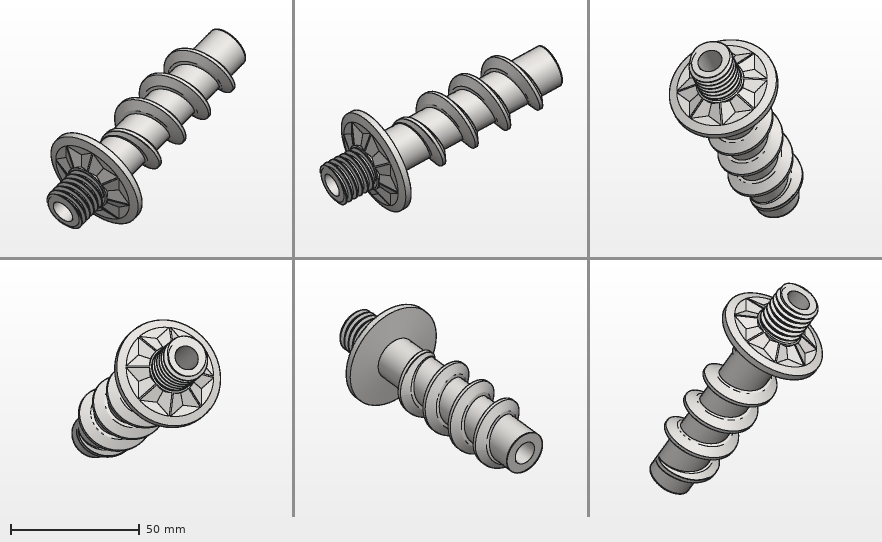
import cadquery as cq
import math

total_length = 104.14
bore_diameter = 9.65

flange_radius = 43.18 / 2
flange_front_y = 15.24
rim_front_y = 19.9
rim_back_y = 22.5
flange_back_y = 24.13

shank_radius = 17.78 / 2
tip_band_radius = 17.79 / 2
tip_band_length = 0.4

star_radius = 18.2
hub_radius = 9.6
ridge_half_width = 0.3
front_slope = (rim_front_y - flange_front_y) / (flange_radius - shank_radius)
star_floor_y = rim_front_y - front_slope * (flange_radius - star_radius)

stub_radius = 14.94 / 2
fine_crest_radius = 17.79 / 2
fine_pitch = 2.54
fine_crest_half_width = 0.25
fine_base_half_width = 1.05
fine_start_y = -0.25 * fine_pitch
fine_turns = 6.5

coarse_crest_radius = 27.94 / 2
coarse_pitch = 15.58
coarse_turns = 4
coarse_runout_turns = 0.5
coarse_start_y = 35.7
coarse_crest_half_width = 0.7
coarse_crest_bevel_depth = 0.2
coarse_crest_bevel_half_width = 0.9
coarse_upper_shoulder_height = 2.1
coarse_upper_shoulder_half_width = 2.5
coarse_lower_shoulder_height = 1.3
coarse_lower_shoulder_half_width = 2.95
coarse_base_half_width = 3.3
runout_crest_half_width = 0.85
runout_base_half_width = 1.25

thread_embed = 0.5
points_per_turn = 24


def revolve_about_y(profile):
    """Revolve a closed (radius, y) outline about the Y axis."""
    return cq.Workplane("XY").polyline(profile).close().revolve(360, (0, 0, 0), (0, 1, 0))


def right_hand_point(radius, turn, y):
    """Point on a right-hand helix that starts on the -X side and advances along +Y."""
    angle = math.pi - 2 * math.pi * turn
    return cq.Vector(radius * math.cos(angle), y, radius * math.sin(angle))


def helical_ridge(start_profile, end_profile, start_y, pitch, first_turn, last_turn):
    """Solid swept along a helix while its (radius, axial offset) profile changes linearly."""
    steps = round((last_turn - first_turn) * points_per_turn)
    edges = []
    for (start_radius, start_offset), (end_radius, end_offset) in zip(start_profile, end_profile):
        points = []
        for i in range(steps + 1):
            t = i / steps
            turn = first_turn + t * (last_turn - first_turn)
            radius = start_radius + t * (end_radius - start_radius)
            offset = start_offset + t * (end_offset - start_offset)
            points.append(right_hand_point(radius, turn, start_y + pitch * turn + offset))
        edges.append(cq.Edge.makeSpline(points))
    faces = [cq.Face.makeRuledSurface(a, b) for a, b in zip(edges, edges[1:] + edges[:1])]
    for end in (0, 1):
        corners = [edge.positionAt(end) for edge in edges]
        faces.append(cq.Face.makeFromWires(cq.Wire.makePolygon(corners, close=True)))
    ridge = cq.Solid.makeSolid(cq.Shell.makeShell(faces))
    return cq.Workplane(ridge.fix())


def mirrored_profile(half_profile):
    """Complete a symmetric tooth from its (radius, half width) points, listed base to crest."""
    falling = list(reversed(half_profile))
    return [(radius, -half_width) for radius, half_width in half_profile] + falling


def make_body():
    return revolve_about_y([
        (0, 0),
        (stub_radius, 0),
        (stub_radius, flange_front_y),
        (shank_radius, flange_front_y),
        (flange_radius, rim_front_y),
        (flange_radius, rim_back_y),
        (shank_radius, flange_back_y),
        (shank_radius, total_length - tip_band_length),
        (tip_band_radius, total_length - tip_band_length),
        (tip_band_radius, total_length),
        (0, total_length),
    ])


def star_pyramid(rotation):
    """Square pyramid, apex towards -Y, whose edges follow the slope of the flange front."""
    base_radius = star_radius + ridge_half_width
    apex = cq.Vector(0, star_floor_y - front_slope * base_radius, 0)
    corners = []
    for i in range(4):
        angle = math.radians(rotation + 90 * i)
        corners.append(cq.Vector(base_radius * math.cos(angle), star_floor_y, base_radius * math.sin(angle)))
    faces = [cq.Face.makeFromWires(cq.Wire.makePolygon(corners, close=True))]
    for a, b in zip(corners, corners[1:] + corners[:1]):
        faces.append(cq.Face.makeFromWires(cq.Wire.makePolygon([a, b, apex], close=True)))
    return cq.Workplane(cq.Solid.makeSolid(cq.Shell.makeShell(faces)).fix())


def make_star_pocket():
    """Ring cut out of the flange front, leaving the eight star ridges standing."""
    ring = revolve_about_y([
        (hub_radius, flange_front_y),
        (star_radius, flange_front_y),
        (star_radius, star_floor_y),
        (hub_radius, star_floor_y),
    ])
    return ring.cut(star_pyramid(0)).cut(star_pyramid(45))


def make_fine_thread():
    profile = mirrored_profile([
        (stub_radius - thread_embed, fine_base_half_width),
        (fine_crest_radius, fine_crest_half_width),
    ])
    thread = helical_ridge(profile, profile, fine_start_y, fine_pitch, 0, fine_turns)
    keep = revolve_about_y([
        (0, 0),
        (flange_radius, 0),
        (flange_radius, rim_front_y),
        (0, rim_front_y),
    ])
    return thread.intersect(keep)


def make_coarse_thread():
    half_profile = [
        (shank_radius - thread_embed, coarse_base_half_width),
        (shank_radius + coarse_lower_shoulder_height, coarse_lower_shoulder_half_width),
        (shank_radius + coarse_upper_shoulder_height, coarse_upper_shoulder_half_width),
        (coarse_crest_radius - coarse_crest_bevel_depth, coarse_crest_bevel_half_width),
        (coarse_crest_radius, coarse_crest_half_width),
    ]
    width_step = (runout_base_half_width - runout_crest_half_width) / (len(half_profile) - 1)
    flat_half_profile = [(shank_radius - thread_embed, runout_base_half_width)]
    for i in range(1, len(half_profile)):
        flat_half_profile.append((shank_radius, runout_base_half_width - i * width_step))
    full = mirrored_profile(half_profile)
    flat = mirrored_profile(flat_half_profile)
    full_start = coarse_runout_turns
    full_end = coarse_turns - coarse_runout_turns
    sections = [
        (flat, full, 0, full_start),
        (full, full, full_start, full_end),
        (full, flat, full_end, coarse_turns),
    ]
    return [helical_ridge(a, b, coarse_start_y, coarse_pitch, first, last) for a, b, first, last in sections]


bore = cq.Workplane("XZ").circle(bore_diameter / 2).extrude(-total_length)

result = make_body().cut(make_star_pocket())
for section in make_coarse_thread():
    result = result.union(section)
result = result.union(make_fine_thread()).cut(bore).solids()